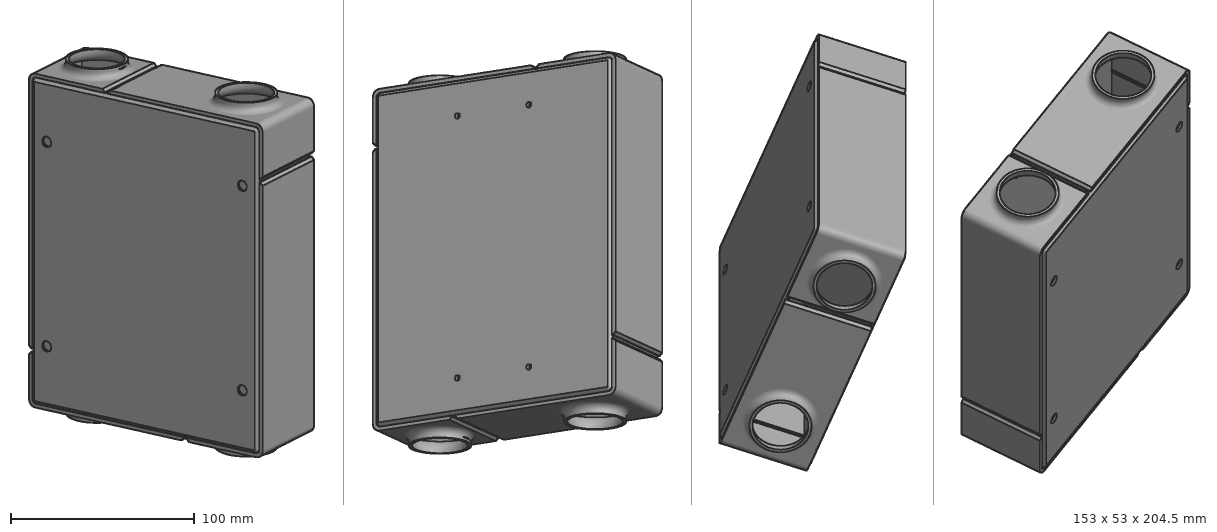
import cadquery as cq

WIDTH = 153.0
DEPTH = 53.0
HEIGHT = 204.5

COLLAR_LENGTH = 5.7
WALL_HEIGHT = HEIGHT - 2 * COLLAR_LENGTH
WALL_DEPTH = 50.5
WALL_THICKNESS = 2.2
CORNER_RADIUS = 4.3
INNER_WIDTH = WIDTH - 2 * WALL_THICKNESS
INNER_HEIGHT = WALL_HEIGHT - 2 * WALL_THICKNESS
INNER_RADIUS = 2.7

COLLAR_X = 48.9
COLLAR_OUTER_RADIUS = 34.0 / 2
COLLAR_INNER_RADIUS = 30.5 / 2
COLLAR_STRAIGHT = 1.8
OUTER_FLARE = COLLAR_LENGTH - COLLAR_STRAIGHT
INNER_FLARE = OUTER_FLARE + WALL_THICKNESS

SLOT_WIDTH = 1.8
SLOT_CHAMFER = 1.6
SLOT_X = -25.8
SLOT_Z = 63.8

COVER_THICKNESS = 3.0
COVER_CHAMFER = 2.0
SCREW_RECESS_DIAMETER = 6.0
SCREW_RECESS_DEPTH = 1.5
SCREW_SPACING_X = 128.0
SCREW_SPACING_Z = 118.2
MOUNT_HOLE_DIAMETER = 3.0
MOUNT_SPACING_X = 45.0
MOUNT_SPACING_Z = 148.0


def rounded_block(width, depth, height, radius):
    """Block centred on the origin with its four Y-parallel edges rounded."""
    return cq.Workplane("XY").box(width, depth, height).edges("|Y").fillet(radius)


def half_turn(body):
    """Copy of a body turned 180 degrees about the Y axis."""
    return body.rotate((0, 0, 0), (0, 1, 0), 180)


def collar_solid():
    """Outside of a top collar, flared down onto the wall and filled to its inner face."""
    wall_top = WALL_HEIGHT / 2
    return (
        cq.Workplane("XZ")
        .moveTo(0, wall_top - WALL_THICKNESS)
        .lineTo(0, HEIGHT / 2)
        .lineTo(COLLAR_OUTER_RADIUS, HEIGHT / 2)
        .lineTo(COLLAR_OUTER_RADIUS, wall_top + OUTER_FLARE)
        .radiusArc((COLLAR_OUTER_RADIUS + OUTER_FLARE, wall_top), -OUTER_FLARE)
        .lineTo(COLLAR_OUTER_RADIUS + OUTER_FLARE, wall_top - WALL_THICKNESS)
        .close()
        .revolve(360, (0, 0), (0, 1))
    )


def collar_bore():
    """Hole through a top collar and wall, flared out toward the inside of the box."""
    wall_inside = WALL_HEIGHT / 2 - WALL_THICKNESS
    return (
        cq.Workplane("XZ")
        .moveTo(0, wall_inside)
        .lineTo(0, HEIGHT / 2)
        .lineTo(COLLAR_INNER_RADIUS, HEIGHT / 2)
        .lineTo(COLLAR_INNER_RADIUS, wall_inside + INNER_FLARE)
        .radiusArc((COLLAR_INNER_RADIUS + INNER_FLARE, wall_inside), -INNER_FLARE)
        .close()
        .revolve(360, (0, 0), (0, 1))
    )


def top_slot():
    """Cutter for the gap in the top wall, with its outer edges chamfered."""
    wall_top = WALL_HEIGHT / 2
    half_slot = SLOT_WIDTH / 2
    chamfer_bottom = wall_top - SLOT_CHAMFER
    half_mouth = half_slot + SLOT_CHAMFER + OUTER_FLARE
    return (
        cq.Workplane("XZ")
        .polyline([
            (-half_slot, wall_top - 2 * WALL_THICKNESS),
            (-half_slot, chamfer_bottom),
            (-half_mouth, wall_top + OUTER_FLARE),
            (half_mouth, wall_top + OUTER_FLARE),
            (half_slot, chamfer_bottom),
            (half_slot, wall_top - 2 * WALL_THICKNESS),
        ])
        .close()
        .extrude(DEPTH / 2, both=True)
    )


def side_slot():
    """Cutter for the gap in the +X wall, the same profile as the top gap."""
    to_side_wall = (WIDTH - WALL_HEIGHT) / 2
    return top_slot().translate((0, 0, to_side_wall)).rotate((0, 0, 0), (0, 1, 0), 90)


def slotted_frame():
    """Complete wall frame with four collars and the four gaps cut through it."""
    frame = rounded_block(WIDTH, WALL_DEPTH, WALL_HEIGHT, CORNER_RADIUS)
    frame = frame.cut(rounded_block(INNER_WIDTH, WALL_DEPTH, INNER_HEIGHT, INNER_RADIUS))
    for x in (-COLLAR_X, COLLAR_X):
        outside = collar_solid().translate((x, 0, 0))
        bore = collar_bore().translate((x, 0, 0))
        frame = frame.union(outside).union(half_turn(outside))
        frame = frame.cut(bore).cut(half_turn(bore))
    for slot in (top_slot().translate((SLOT_X, 0, 0)), side_slot().translate((0, 0, SLOT_Z))):
        frame = frame.cut(slot).cut(half_turn(slot))
    return frame


def frame_region(x_min, x_max, z_min, z_max):
    """Block that keeps only one corner of the frame."""
    size_x = x_max - x_min
    size_z = z_max - z_min
    block = cq.Workplane("XY").box(size_x, DEPTH, size_z)
    return block.translate(((x_min + x_max) / 2, 0, (z_min + z_max) / 2))


def tall_corner():
    """Corner wall at -X, +Z: the long part of the side and the short part of the top."""
    return slotted_frame().intersect(frame_region(-WIDTH / 2, SLOT_X, -SLOT_Z, HEIGHT / 2))


def wide_corner():
    """Corner wall at +X, +Z: the long part of the top and the short part of the side."""
    return slotted_frame().intersect(frame_region(SLOT_X, WIDTH / 2, SLOT_Z, HEIGHT / 2))


def cover_plate():
    """Plate at the -Y opening with a chamfer around its outer face."""
    plate = rounded_block(INNER_WIDTH, COVER_THICKNESS, INNER_HEIGHT, INNER_RADIUS)
    plate = plate.faces("<Y").chamfer(COVER_CHAMFER)
    return plate.translate((0, (COVER_THICKNESS - DEPTH) / 2, 0))


def hole_pattern(spacing_x, spacing_z, diameter, face_y, depth):
    """Four cylinders sunk toward +Y from a face at the given Y position."""
    return (
        cq.Workplane("XZ", origin=(0, face_y, 0))
        .rarray(spacing_x, spacing_z, 2, 2)
        .circle(diameter / 2)
        .extrude(-depth)
    )


def front_cover():
    """Cover at -Y with four screw recesses in its outer face."""
    recesses = hole_pattern(
        SCREW_SPACING_X, SCREW_SPACING_Z, SCREW_RECESS_DIAMETER, -DEPTH / 2, SCREW_RECESS_DEPTH
    )
    return cover_plate().cut(recesses)


def back_cover():
    """Cover at +Y with four small mounting holes through it."""
    inner_face_y = DEPTH / 2 - COVER_THICKNESS
    holes = hole_pattern(
        MOUNT_SPACING_X, MOUNT_SPACING_Z, MOUNT_HOLE_DIAMETER, inner_face_y, COVER_THICKNESS
    )
    return cover_plate().mirror("XZ").cut(holes)


corner_walls = []
for corner in (tall_corner(), wide_corner()):
    corner_walls.append(corner.val())
    corner_walls.append(half_turn(corner).val())

result = cq.Compound.makeCompound([
    *corner_walls,
    front_cover().val(),
    back_cover().val(),
])